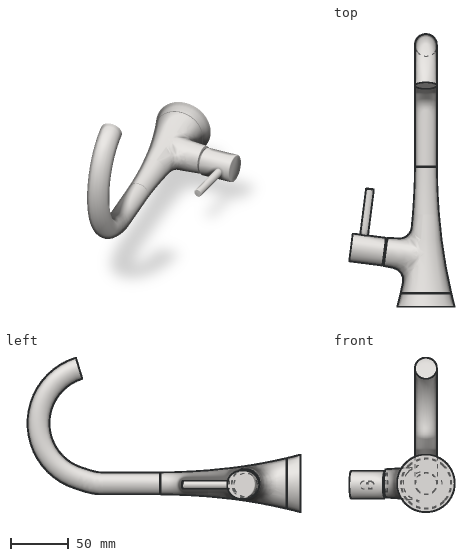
import cadquery as cq
import math


base_radius = 25.0
tube_radius = 9.6
column_length = 121.5
column_mid_y = 51.0
column_mid_radius = 14.6
column_seam_y = 80.0
column_seam_radius = 11.4
base_joint_y = 12.0
base_joint_radius = 21.7
joint_width = 0.8
joint_depth = 0.5
ring_overhang = 2.0

bend_start_y = 171.0
spout_crown_y = 236.37
spout_top_z = 108.87
bend_lean = math.radians(17.0)
main_bend_radius = 49.8

valve_tilt = 7.3
valve_radius = 12.2
valve_length = 29.0
valve_edge_round = 0.8
valve_tip_x = -66.5
valve_axis_y = 43.2
valve_drop = 1.2
neck_radius = 12.4
neck_taper = 4.0
neck_gap = 1.4
spigot_radius = 10.2
neck_blend_radius = 10.5

handle_radius = 3.5
handle_length = 40.3
handle_from_tip = 10.0
handle_edge_chamfer = 0.5


def make_column():
    """Flared column, turned about Y; two tangent arcs lead from the base rim to the tube."""
    return (
        cq.Workplane("XY")
        .lineTo(base_radius, 0)
        .threePointArc((column_mid_radius, column_mid_y), (column_seam_radius, column_seam_y))
        .tangentArcPoint((tube_radius, column_length), relative=False)
        .lineTo(0, column_length)
        .close()
        .revolve(360, (0, 0, 0), (0, 1, 0))
    )


def cut_joint(body, y, surface_radius):
    """Cut a shallow ring groove centred at height y on the column."""
    ring = (
        cq.Workplane("XZ", origin=(0, y + joint_width / 2, 0))
        .circle(surface_radius + ring_overhang)
        .circle(surface_radius - joint_depth)
        .extrude(joint_width)
    )
    return body.cut(ring)


def make_spout():
    """Round tube swept along a straight run and two bends that flow into each other."""
    lean_sin = math.sin(bend_lean)
    lean_cos = math.cos(bend_lean)
    main_centre_y = spout_crown_y - tube_radius - main_bend_radius
    main_centre_z = spout_top_z - (main_bend_radius + tube_radius) * lean_cos
    joint = (
        main_centre_y + main_bend_radius * lean_sin,
        main_centre_z - main_bend_radius * lean_cos,
    )
    crown = (main_centre_y + main_bend_radius, main_centre_z)
    tip = (joint[0], main_centre_z + main_bend_radius * lean_cos)
    path = (
        cq.Workplane("YZ")
        .moveTo(column_length, 0)
        .lineTo(bend_start_y, 0)
        .spline([joint], tangents=[(1, 0), (lean_cos, lean_sin)], includeCurrent=True)
        .threePointArc(crown, tip)
    )
    return (
        cq.Workplane("XZ", origin=(0, column_length, 0))
        .circle(tube_radius)
        .sweep(path, transition="round")
    )


tilt = math.radians(valve_tilt)
outward = cq.Vector(-math.cos(tilt), math.sin(tilt), 0)
upward = cq.Vector(math.sin(tilt), math.cos(tilt), 0)
valve_reach = (-valve_tip_x - valve_radius * math.sin(tilt)) / math.cos(tilt)
neck_root = cq.Vector(0, valve_axis_y, 0)
valve_root = neck_root - cq.Vector(0, 0, valve_drop)
valve_start = valve_reach - valve_length


def valve_plane(root, distance):
    """Plane across the valve axis at a distance from the column axis."""
    return cq.Plane(origin=root + outward * distance, xDir=upward, normal=outward)


def add_neck(column):
    """Join the neck to the column with a generous blend."""
    neck_length = valve_start - neck_gap
    root_radius = neck_radius + neck_length * math.tan(math.radians(neck_taper))
    neck = (
        cq.Workplane(valve_plane(neck_root, 0))
        .circle(root_radius)
        .extrude(neck_length, taper=neck_taper)
    )
    joined = column.union(neck)
    valve_side = cq.selectors.BoxSelector(
        (-base_radius, 0, -base_radius),
        (-tube_radius / 4, column_length, base_radius),
    )
    return joined.edges(valve_side).edges("not %CIRCLE").edges("not %LINE").fillet(neck_blend_radius)


def make_valve():
    """Valve barrel with rounded rims and a spigot bridging the gap to the neck."""
    barrel = (
        cq.Workplane(valve_plane(valve_root, valve_start))
        .circle(valve_radius)
        .extrude(valve_length)
        .edges()
        .fillet(valve_edge_round)
    )
    spigot = (
        cq.Workplane(valve_plane(valve_root, valve_start - 2 * neck_gap))
        .circle(spigot_radius)
        .extrude(3 * neck_gap)
    )
    return barrel.union(spigot)


def make_handle():
    """Slim lever rising square to the valve axis."""
    root = valve_root + outward * (valve_reach - handle_from_tip)
    plane = cq.Plane(origin=root, xDir=outward, normal=upward)
    return (
        cq.Workplane(plane)
        .circle(handle_radius)
        .extrude(valve_radius + handle_length)
        .faces(cq.selectors.DirectionMinMaxSelector(upward, True))
        .chamfer(handle_edge_chamfer)
    )


body = add_neck(make_column())
body = body.union(make_spout())
body = cut_joint(body, base_joint_y, base_joint_radius)
body = cut_joint(body, column_length, tube_radius)
result = body.union(make_valve()).union(make_handle())